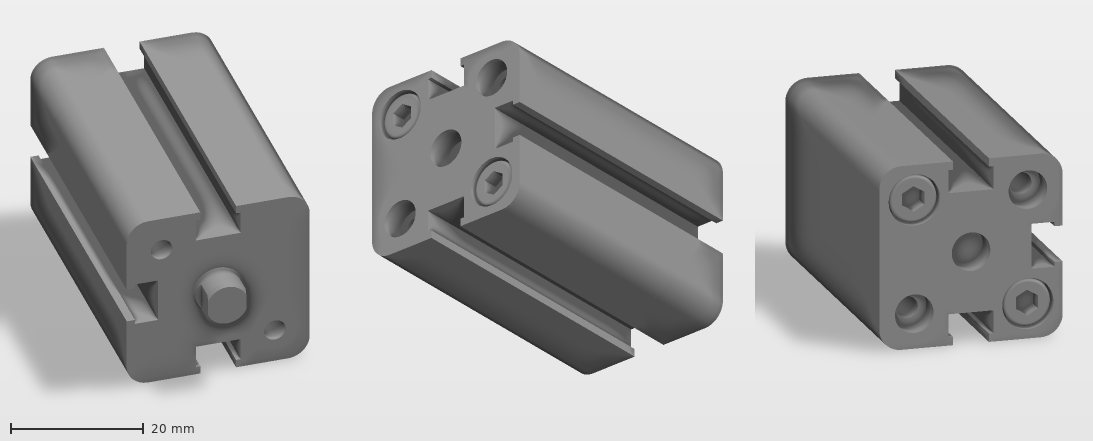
import cadquery as cq

overall_length = 52.5
housing_length = 48.0
cap_length = 12.3
barrel_length = housing_length - 2 * cap_length
front_cap_start = cap_length + barrel_length

width = 29.0
half_width = width / 2
corner_radius = 3.45

slot_mouth_width = 5.65
slot_inner_width = 7.1
slot_lip = 1.3
slot_depth = 4.95
slot_angles = (0, 90, 180)

corner_offset = 9.0
through_diameter = 3.4
rear_bore_diameter = 6.1
corner_bore_depth = 3.7
center_bore_depth = 4.0

head_seat_diameter = 8.1
head_diameter = 7.55
head_recess = 0.45
head_edge_radius = 0.5
head_seat_depth = 3.15
hex_across_flats = 3.5
hex_depth = 2.5

rod_diameter = 8.0
rod_end_diameter = 7.45
rod_shoulder_height = (rod_diameter - rod_end_diameter) / 2
rod_tip_chamfer = 0.45
flat_distance = 6.05
flat_start = 49.0

mounting_hole_places = ((-corner_offset, corner_offset), (corner_offset, -corner_offset))
screw_places = ((corner_offset, corner_offset), (-corner_offset, -corner_offset))


def cylinder(start, length, diameter, places=((0, 0),)):
    """Cylinders along +X from X = start, centred on the given (Y, Z) places."""
    return (
        cq.Workplane("YZ", origin=(start, 0, 0))
        .pushPoints(places)
        .circle(diameter / 2)
        .extrude(length)
    )


def slot_cutter(start, length):
    """T-slot open to the +Z side."""
    mouth = cq.Workplane("XY").box(length, slot_mouth_width, slot_depth, centered=(False, True, False))
    inner = cq.Workplane("XY").box(
        length, slot_inner_width, slot_depth - slot_lip, centered=(False, True, False)
    )
    return mouth.union(inner).translate((start, 0, half_width - slot_depth))


def profile_block(start, length):
    """Length of the slotted profile with the mounting holes through it."""
    block = cq.Workplane("YZ", origin=(start, 0, 0)).rect(width, width).extrude(length)
    block = block.edges("|X").fillet(corner_radius)
    for angle in slot_angles:
        block = block.cut(slot_cutter(start, length).rotate((0, 0, 0), (1, 0, 0), angle))
    return block.cut(cylinder(start, length, through_diameter, mounting_hole_places))


def screw_head_gap(place):
    """Space around, above and in the socket of one screw head of the rear cap."""
    y, z = place
    seat = cylinder(0, head_seat_depth, head_seat_diameter)
    head = cylinder(head_recess, head_seat_depth, head_diameter)
    head = head.faces("<X").edges().fillet(head_edge_radius)
    socket = (
        cq.Workplane("YZ", origin=(head_recess, 0, 0))
        .polygon(6, hex_across_flats, circumscribed=True)
        .extrude(hex_depth)
    )
    return seat.cut(head).union(socket).translate((0, y, z))


def make_rear_cap():
    cap = profile_block(0, cap_length)
    cap = cap.cut(cylinder(0, corner_bore_depth, rear_bore_diameter, mounting_hole_places))
    cap = cap.cut(cylinder(0, center_bore_depth, rear_bore_diameter))
    for place in screw_places:
        cap = cap.cut(screw_head_gap(place))
    return cap


def make_barrel():
    return profile_block(cap_length, barrel_length)


def make_front_cap():
    cap = profile_block(front_cap_start, cap_length)
    return cap.cut(cylinder(front_cap_start, cap_length, rod_diameter))


def make_rod():
    """Rod through the front cap, with a reduced end and two wrench flats."""
    rod_radius = rod_diameter / 2
    end_radius = rod_end_diameter / 2
    rod = (
        cq.Workplane("XY")
        .moveTo(front_cap_start, 0)
        .lineTo(front_cap_start, rod_radius)
        .lineTo(housing_length, rod_radius)
        .lineTo(housing_length + rod_shoulder_height, end_radius)
        .lineTo(overall_length - rod_tip_chamfer, end_radius)
        .lineTo(overall_length, end_radius - rod_tip_chamfer)
        .lineTo(overall_length, 0)
        .close()
        .revolve(360, (0, 0, 0), (1, 0, 0))
    )
    flat_half = flat_distance / 2
    run_out = rod_radius - flat_half
    flat = (
        cq.Workplane("XY")
        .polyline([
            (flat_start - run_out, rod_radius),
            (flat_start, flat_half),
            (overall_length, flat_half),
            (overall_length, rod_radius),
        ])
        .close()
        .extrude(rod_radius, both=True)
    )
    return rod.cut(flat).cut(flat.mirror("XZ"))


rear_cap = make_rear_cap()
barrel = make_barrel()
front_cap = make_front_cap()
rod = make_rod()

result = cq.Compound.makeCompound([rear_cap.val(), barrel.val(), front_cap.val(), rod.val()])